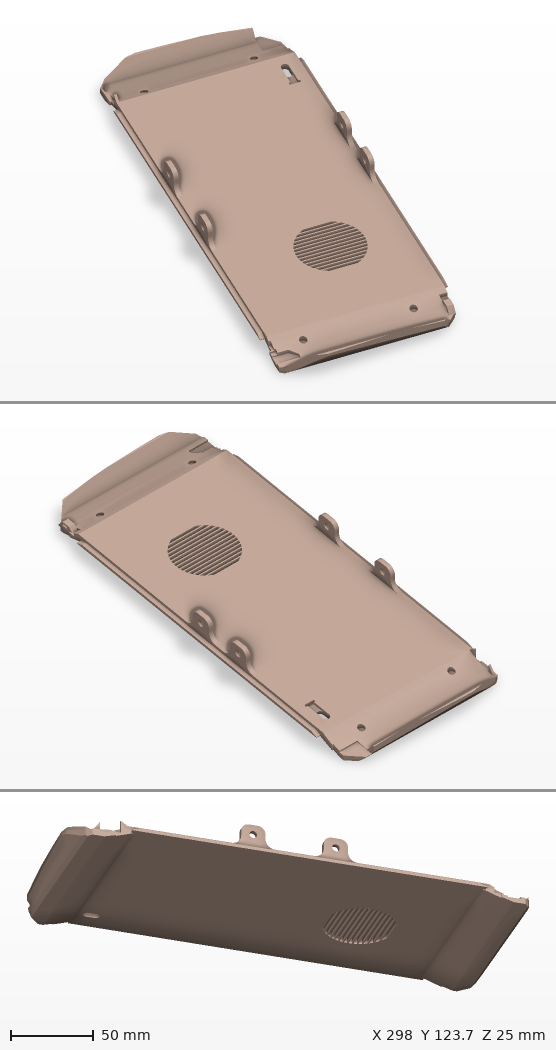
import cadquery as cq

length = 298.0
width = 123.7
height = 25.0

plate_length = 231.3
plate_width = 117.5
plate_bottom = 6.3
plate_top = 10.5
plate_edge = plate_width / 2
thickness = plate_top - plate_bottom

rail_length = 226.5
rail_height = 2.0
rail_taper = 5.0
rail_taper_drop = 1.5

wing_root = plate_length / 2
dish_start = 131.0
dish_floor = 4.2
lip_fold = 139.2
lip_top = 14.3
lip_tip_flat = 1.8
wing_far_edge = 57.8
wing_near_edge = -60.0
lip_tip_edge = 12.2
heel_start = 140.5
heel_end = 142.8
heel_height = 2.5
dish_top_middle = (127.3, 5.7)
dish_underside_middle = (122.8, 2.5)
far_step = 124.3
near_step = 123.5
lip_outline = (
    (134.0, wing_far_edge),
    (145.5, 46.2),
    (148.5, -14.0),
    (length / 2, -32.2),
    (148.0, -38.0),
    (141.5, -55.8),
    (138.3, wing_near_edge),
)
lip_taper_start = 15.8
lip_taper_end = 46.2
lip_taper_drop = 3.5

ear_width = 15.5
ear_thickness = 3.3
ear_corner = 5.0
ear_flare = 6.3
ear_hole_diameter = 4.8
ear_hole_height = 18.5
near_ear_places = (-35.2, 17.5)
far_ear_places = (-35.2, 0.0)

grille_x = 55.5
grille_y = 9.2
grille_diameter = 45.0
grille_slots = 14
grille_pitch = 3.0
grille_slot_width = 2.0

keyhole_y = 48.0
keyhole_width = 5.0
keyhole_left = -108.2
keyhole_right = -97.8
channel_right = -89.5
channel_depth = 1.8
crossbar_length = 7.5
crossbar_width = 1.8
crossbar_depth = 2.7

blind_diameter = 5.0
blind_depth = 1.8
blind_holes = (
    (-124.0, 35.5, 6.0),
    (-121.0, -38.2, 7.2),
    (123.7, 35.0, 6.0),
    (123.7, -38.0, 6.0),
)

left_floor = 4.0
left_pocket_x = -130.0
left_pocket_y = 43.5
rim_floor = 5.0
rim_inner = -57.2
rim_start = -133.3
rim_end = -119.8
fin_foot = -138.0
fin_top = 10.0
fin_base = 1.5
tab_top = 13.5
tab_thickness = 1.8
right_floor = 3.0
right_pocket_left = 127.3
right_pocket_right = 135.0
right_pocket_end = -44.5
right_pocket_chamfer = 4.8
right_rim_start = 119.0
right_rim_step = 124.3
right_rim_end = 128.2
right_rim_inner = -56.3
right_rim_floor = 4.0
loop_inner = 53.5
loop_start = 119.8
loop_end = 135.5
loop_top = 8.5
loop_bottom = 3.0
loop_pocket_floor = 5.7
strap_left = 122.8
strap_flat_left = 125.8
strap_flat_right = 131.8
eye_outline = ((127.3, 7.5), (130.5, 7.5), (132.0, 5.7), (128.0, 5.7))


def block(x0, x1, y0, y1, z0, z1):
    """Box between opposite corners."""
    return cq.Workplane("XY").box(x1 - x0, y1 - y0, z1 - z0, centered=False).translate((x0, y0, z0))


def extrude_along_y(points, y0, y1):
    """Straight-sided XZ outline extruded from y0 to y1."""
    return cq.Workplane("XZ", origin=(0, y1, 0)).polyline(points).close().extrude(y1 - y0)


def rail():
    """Rail on the +Y edge, with the top sloping down at both ends."""
    half = rail_length / 2
    top = plate_bottom + rail_height
    points = [
        (-half, plate_bottom),
        (half, plate_bottom),
        (half, top - rail_taper_drop),
        (half - rail_taper, top),
        (rail_taper - half, top),
        (-half, top - rail_taper_drop),
    ]
    return extrude_along_y(points, plate_edge - thickness, width / 2)


def wing():
    """Wing on the +X end: a dished section trimmed to the plan outline."""
    tip = length / 2
    section = (
        cq.Workplane("XZ", origin=(0, width / 2, 0))
        .moveTo(wing_root - thickness, plate_bottom)
        .threePointArc(dish_underside_middle, (dish_start, 0))
        .lineTo(heel_start, 0)
        .lineTo(heel_end, heel_height)
        .lineTo(tip, lip_tip_edge)
        .lineTo(tip, lip_top)
        .lineTo(tip - lip_tip_flat, lip_top)
        .lineTo(lip_fold, dish_floor)
        .threePointArc(dish_top_middle, (wing_root, plate_top))
        .lineTo(wing_root - thickness, plate_top)
        .close()
        .extrude(width)
    )
    outline = (
        cq.Workplane("XY")
        .polyline([
            (0, plate_edge),
            (far_step, plate_edge),
            (far_step, wing_far_edge),
            *lip_outline,
            (near_step, wing_near_edge),
            (near_step, -plate_edge),
            (0, -plate_edge),
        ])
        .close()
        .extrude(height)
    )
    lip_taper = (
        cq.Workplane("YZ", origin=(lip_fold, 0, 0))
        .polyline([
            (lip_taper_start, lip_top),
            (lip_taper_end, lip_top - lip_taper_drop),
            (width / 2, lip_top - lip_taper_drop),
            (width / 2, height),
            (lip_taper_start, height),
        ])
        .close()
        .extrude(tip - lip_fold)
    )
    return section.intersect(outline).cut(lip_taper)


def ear(x, y0):
    """Round-shouldered ear with flared feet; its -Y face is at y0."""
    half = ear_width / 2
    foot = half + ear_flare
    flare_top = plate_top + ear_flare
    bend = ear_flare * (1 - 0.5 ** 0.5)
    body = (
        cq.Workplane("XZ", origin=(x, y0 + ear_thickness, 0))
        .moveTo(-foot, plate_bottom)
        .lineTo(-foot, plate_top)
        .threePointArc((-half - bend, plate_top + bend), (-half, flare_top))
        .lineTo(-half, height)
        .lineTo(half, height)
        .lineTo(half, flare_top)
        .threePointArc((half + bend, plate_top + bend), (foot, plate_top))
        .lineTo(foot, plate_bottom)
        .close()
        .extrude(ear_thickness)
    )
    body = body.edges("|Y and >Z").fillet(ear_corner)
    hole = (
        cq.Workplane("XZ", origin=(x, y0 + ear_thickness, ear_hole_height))
        .circle(ear_hole_diameter / 2)
        .extrude(ear_thickness)
    )
    return body.cut(hole)


def grille():
    """Parallel slots whose ends follow one circle."""
    slots = (
        cq.Workplane("XY", origin=(grille_x, grille_y, plate_bottom))
        .rarray(grille_pitch, 3, grille_slots, 1)
        .rect(grille_slot_width, grille_diameter)
        .extrude(thickness)
    )
    disc = (
        cq.Workplane("XY", origin=(grille_x, grille_y, plate_bottom))
        .circle(grille_diameter / 2)
        .extrude(thickness)
    )
    return slots.intersect(disc)


def keyhole():
    """Through slot, shallow channel and crossbar groove."""
    slot_length = keyhole_right - keyhole_left
    slot = (
        cq.Workplane("XY", origin=(keyhole_left + slot_length / 2, keyhole_y, plate_bottom))
        .slot2D(slot_length, keyhole_width)
        .extrude(thickness)
    )
    floor = plate_top - channel_depth
    half = keyhole_width / 2
    channel = block(
        keyhole_right - half, channel_right, keyhole_y - half, keyhole_y + half, floor, plate_top
    )
    bar_half = crossbar_length / 2
    crossbar = block(
        channel_right - crossbar_width, channel_right,
        keyhole_y - bar_half, keyhole_y + bar_half, plate_top - crossbar_depth, plate_top,
    )
    return slot.union(channel).union(crossbar)


def left_corner_cuts():
    """Flat pocket at the rear corner and lowered rim at the front corner."""
    pocket = block(-length / 2, left_pocket_x, left_pocket_y, width / 2, left_floor, height)
    rim = block(rim_start, rim_end, -width / 2, rim_inner, rim_floor, height)
    return pocket.union(rim)


def left_corner_fins():
    """Triangular fin and small sloped tab standing on the front edge."""
    fin = extrude_along_y(
        [(fin_foot, fin_base), (rim_start, fin_base), (rim_start, fin_top), (fin_foot, left_floor)],
        -plate_edge, rim_inner,
    )
    tab = extrude_along_y(
        [(rim_end, rim_floor), (-wing_root, plate_bottom), (-wing_root, plate_top), (rim_end, tab_top)],
        -plate_edge, tab_thickness - plate_edge,
    )
    return fin.union(tab)


def right_corner_cuts():
    """Chamfered pocket and stepped rim at the front corner, small recess at the rear corner."""
    pocket = (
        cq.Workplane("XY", origin=(0, 0, right_floor))
        .polyline([
            (right_pocket_left, -width / 2),
            (right_pocket_right, -width / 2),
            (right_pocket_right, right_pocket_end),
            (right_pocket_left + right_pocket_chamfer, right_pocket_end),
            (right_pocket_left, right_pocket_end - right_pocket_chamfer),
        ])
        .close()
        .extrude(height)
    )
    outer_step = block(right_rim_start, right_rim_step, -width / 2, rim_inner, rim_floor, height)
    inner_step = block(
        right_rim_step, right_rim_end, -width / 2, right_rim_inner, right_rim_floor, height
    )
    recess = block(loop_start, loop_end, loop_inner, width / 2, loop_pocket_floor, height)
    return pocket.union(outer_step).union(inner_step).union(recess)


def right_loop():
    """Low strap with an open eye at the rear of the right wing."""
    strap = extrude_along_y(
        [
            (strap_left, loop_bottom),
            (strap_left, loop_pocket_floor),
            (strap_flat_left, loop_top),
            (strap_flat_right, loop_top),
            (loop_end, dish_floor),
            (loop_end, loop_bottom),
        ],
        loop_inner, wing_far_edge,
    )
    eye = extrude_along_y(eye_outline, loop_inner, wing_far_edge)
    return strap.cut(eye)


result = block(-wing_root, wing_root, -plate_edge, plate_edge, plate_bottom, plate_top)
result = result.union(rail()).union(rail().mirror("XZ"))
result = result.union(wing()).union(wing().mirror("YZ"))

result = result.cut(left_corner_cuts()).union(left_corner_fins())
result = result.cut(right_corner_cuts()).union(right_loop())

result = result.cut(grille()).cut(keyhole())
for hole_x, hole_y, surface in blind_holes:
    floor = surface - blind_depth
    hole = cq.Workplane("XY", origin=(hole_x, hole_y, floor)).circle(blind_diameter / 2).extrude(height)
    result = result.cut(hole)

for ear_x in near_ear_places:
    result = result.union(ear(ear_x, -plate_edge))
for ear_x in far_ear_places:
    result = result.union(ear(ear_x, plate_edge - ear_thickness))